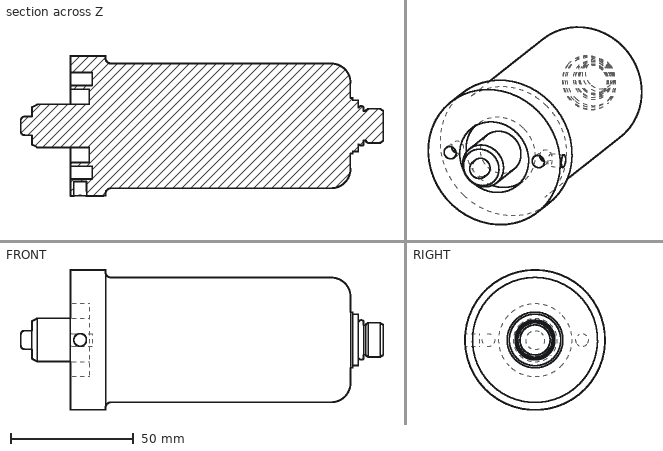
import cadquery as cq
import math

length = 147.5

flange_start = 20.2
flange_end = 34.5
flange_diameter = 57.1
flange_radius = flange_diameter / 2

body_diameter = 50.9
body_radius = body_diameter / 2
body_fillet = 2.2
dome_end = 134.2
dome_fillet = 8.0

shaft_radius = 8.8
shaft_start = 4.5
shaft_chamfer_length = 2.2
shaft_chamfer_depth = 1.2
tip_radius = 3.8
tip_fillet = 1.6

recess_radius = 14.9
recess_depth = 7.7

ring_end = 135.1
ring_radius = 11.4
washer_end = 137.3
washer_radius = 10.5
collar_end = 139.5
collar_start_radius = 7.0
collar_end_radius = 7.7
collar_peak_radius = 8.1
neck_end = 140.4
neck_radius = 6.0
plug_diameter = 14.0
plug_radius = plug_diameter / 2
plug_inner_chamfer_length = 0.9
plug_inner_chamfer_depth = 0.6
plug_outer_chamfer_length = 1.3
plug_outer_chamfer_depth = 0.9

hole_diameter = 5.2
hole_radius = hole_diameter / 2
pin_hole_offset = 19.0
pin_hole_depth = 8.8
port_position = 24.2
port_depth = 5.9


def arc_middle(center_x, center_z, radius, angle):
    """Point on an arc in the XZ profile plane at the given angle in degrees."""
    turn = math.radians(angle)
    return center_x + radius * math.cos(turn), center_z + radius * math.sin(turn)


def make_turned_body():
    """Revolve the half profile of shaft, flange, body and end fitting."""
    tip_round = arc_middle(tip_fillet, tip_radius - tip_fillet, tip_fillet, 135)
    root_radius = body_radius + body_fillet
    root_end = flange_end + body_fillet
    root_round = arc_middle(root_end, root_radius, body_fillet, 225)
    dome_start = dome_end - dome_fillet
    shoulder_radius = body_radius - dome_fillet
    dome_round = arc_middle(dome_start, shoulder_radius, dome_fillet, 45)
    collar_middle = (washer_end + collar_end) / 2

    profile = (
        cq.Workplane("XZ")
        .moveTo(0, 0)
        .lineTo(0, tip_radius - tip_fillet)
        .threePointArc(tip_round, (tip_fillet, tip_radius))
        .lineTo(shaft_start, tip_radius)
        .lineTo(shaft_start, shaft_radius - shaft_chamfer_depth)
        .lineTo(shaft_start + shaft_chamfer_length, shaft_radius)
        .lineTo(flange_start + recess_depth, shaft_radius)
        .lineTo(flange_start + recess_depth, recess_radius)
        .lineTo(flange_start, recess_radius)
        .lineTo(flange_start, flange_radius)
        .lineTo(flange_end, flange_radius)
        .lineTo(flange_end, root_radius)
        .threePointArc(root_round, (root_end, body_radius))
        .lineTo(dome_start, body_radius)
        .threePointArc(dome_round, (dome_end, shoulder_radius))
        .lineTo(dome_end, ring_radius)
        .lineTo(ring_end, ring_radius)
        .lineTo(ring_end, washer_radius)
        .lineTo(washer_end, washer_radius)
        .lineTo(washer_end, collar_start_radius)
        .threePointArc((collar_middle, collar_peak_radius), (collar_end, collar_end_radius))
        .lineTo(collar_end, neck_radius)
        .lineTo(neck_end, neck_radius)
        .lineTo(neck_end, plug_radius - plug_inner_chamfer_depth)
        .lineTo(neck_end + plug_inner_chamfer_length, plug_radius)
        .lineTo(length - plug_outer_chamfer_length, plug_radius)
        .lineTo(length, plug_radius - plug_outer_chamfer_depth)
        .lineTo(length, 0)
        .close()
    )
    return profile.revolve(360, (0, 0, 0), (1, 0, 0))


def make_pin_hole(y):
    """Blind hole along X, entering the flange face at the given Y."""
    start = cq.Vector(flange_start, y, 0)
    return cq.Solid.makeCylinder(hole_radius, pin_hole_depth, start, cq.Vector(1, 0, 0))


def make_side_port():
    """Blind flat-bottomed hole along Y, entering the -Y side of the flange."""
    start = cq.Vector(port_position, -flange_radius, 0)
    return cq.Solid.makeCylinder(hole_radius, port_depth, start, cq.Vector(0, 1, 0))


result = make_turned_body()
for side in (-1, 1):
    result = result.cut(cq.Workplane(make_pin_hole(side * pin_hole_offset)))
result = result.cut(cq.Workplane(make_side_port()))